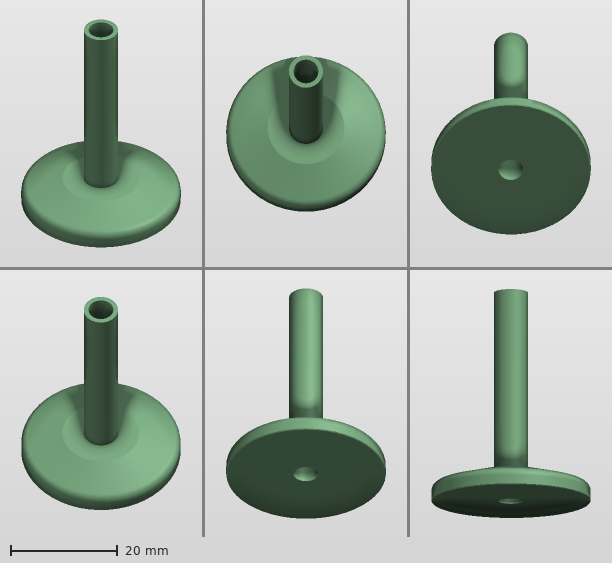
import cadquery as cq
import math

total_height = 40.0
base_radius = 14.95
base_height = 5.15
flat_top_radius = 7.2
cone_slope = math.radians(15)
rim_fillet = 1.5
bottom_chamfer = 0.15
tube_radius = 3.2
bore_radius = 2.3

fillet_center_radius = base_radius - rim_fillet
cone_edge_radius = fillet_center_radius + rim_fillet * math.sin(cone_slope)
cone_edge_height = base_height - (cone_edge_radius - flat_top_radius) * math.tan(cone_slope)
rim_wall_top = cone_edge_height - rim_fillet * math.cos(cone_slope)


def make_base():
    """Round foot with a conical top, a rounded rim and a hole for the tube."""
    profile = (
        cq.Workplane("XZ")
        .moveTo(tube_radius, 0)
        .lineTo(base_radius - bottom_chamfer, 0)
        .lineTo(base_radius, bottom_chamfer)
        .lineTo(base_radius, rim_wall_top)
        .tangentArcPoint((cone_edge_radius, cone_edge_height), relative=False)
        .lineTo(flat_top_radius, base_height)
        .lineTo(tube_radius, base_height)
        .close()
    )
    return profile.revolve(360, (0, 0, 0), (0, 1, 0))


def make_tube():
    """Upright tube that passes through the base, open at both ends."""
    return cq.Workplane("XY").circle(tube_radius).circle(bore_radius).extrude(total_height)


base = make_base()
tube = make_tube()

result = cq.Compound.makeCompound([base.val(), tube.val()])